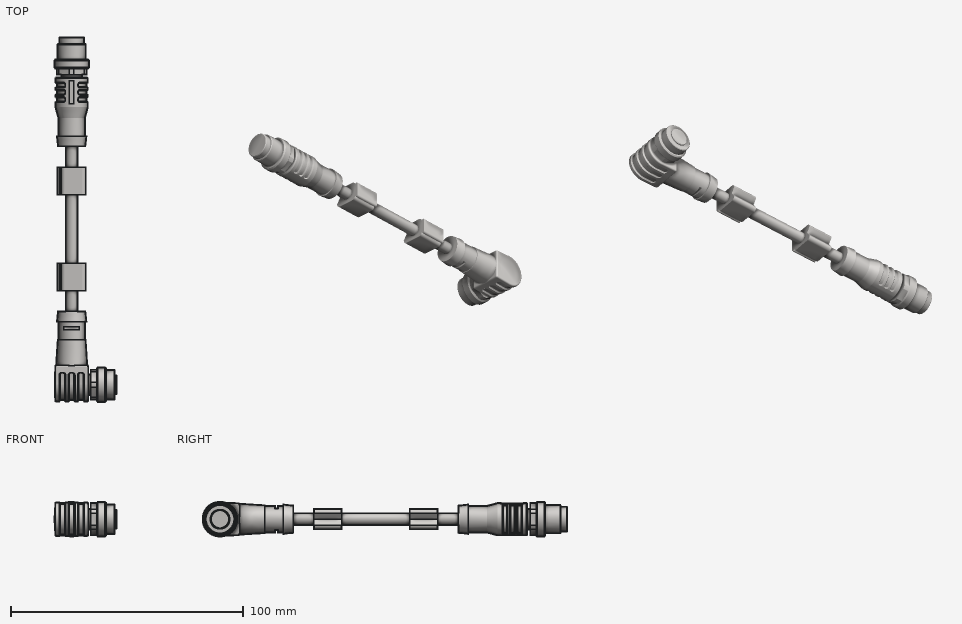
import cadquery as cq
import math


cable_radius = 5.2 / 2

boot_radius = 11.5 / 2
boot_collar_radius = 12.8 / 2
boot_end_radius = 11.8 / 2
boot_collar_length = 4.4

neck_radius = 9.0 / 2
nut_radius = 15.0 / 2
nut_length = 4.0
nut_chamfer = 0.5
hex_across_flats = 13.0
hex_sides = 6
hex_round_radius = 14.0 / 2
hex_length = 2.6
sleeve_chamfer = 0.3
tip_chamfer = 0.3

grip_count = 3
grip_depth = 0.6
grip_wall_run = 0.45

plug_boot_end = 102.6
plug_taper_start = 114.9
plug_body_start = 119.5
plug_body_end = 132.3
plug_hex_start = 133.5
plug_sleeve_end = 146.75
plug_tip_end = 149.6
plug_body_radius = 14.0 / 2
plug_body_chamfer = 0.4
plug_sleeve_radius = 12.3 / 2
plug_tip_radius = 10.8 / 2
plug_grip_center = 125.9
plug_grip_pitch = 3.1
plug_grip_width = 2.4
plug_grip_inner_end = 2.7
mark_width = 2.0
mark_length = 10.0
mark_depth = 0.25

socket_boot_end = 31.6
socket_cone_end = 19.3
socket_cone_small_radius = 12.1 / 2
socket_cone_large_radius = 13.5 / 2
socket_cone_root = 7.0
socket_slot_center = 24.3
socket_slot_width = 1.2
socket_slot_depth = 1.05

elbow_left = -7.15
elbow_right = 7.15
elbow_back = 8.4
elbow_half_height = 6.9
elbow_round_radius = 7.25
elbow_fillet = 0.7
cap_radius = 12.2 / 2
cap_height = 0.15
socket_hex_start = 8.2
socket_sleeve_end = 18.65
socket_tip_end = 19.4
socket_sleeve_radius = 12.8 / 2
socket_tip_radius = 8.3 / 2
socket_grip_pitch = 4.0
socket_grip_width = 2.9
socket_grip_back_end = 5.2

clip_length = 12.0
clip_starts = (40.4, 81.7)
clip_left = -6.1
clip_right = 6.1
clip_half_height = 4.4
clip_top_left = -2.85
clip_top_right = 4.4
clip_tip_half_gap = 2.6
clip_mouth_x = 4.35
clip_notch_x = -4.55
clip_notch_half_height = 2.9
clip_plate_half_height = 3.6
clip_plate_fillet = 0.9

diagonal = math.sqrt(0.5)


def turned_along_y(profile):
    """Solid of revolution about the Y axis from (radius, y) points."""
    return cq.Workplane("XY").polyline(profile).close().revolve(360, (0, 0), (0, 1))


def cylinder_along_y(radius, start, end):
    return turned_along_y([(0, start), (radius, start), (radius, end), (0, end)])


def make_coupling(body_end, hex_start, sleeve_end, sleeve_radius, tip_end, tip_radius):
    """Neck, hexagon, nut, sleeve and tip stacked along Y."""
    nut_start = hex_start + hex_length
    nut_end = nut_start + nut_length
    turned = turned_along_y([
        (0, body_end),
        (neck_radius, body_end),
        (neck_radius, nut_start),
        (nut_radius - nut_chamfer, nut_start),
        (nut_radius, nut_start + nut_chamfer),
        (nut_radius, nut_end - nut_chamfer),
        (nut_radius - nut_chamfer, nut_end),
        (sleeve_radius, nut_end),
        (sleeve_radius, sleeve_end - sleeve_chamfer),
        (sleeve_radius - sleeve_chamfer, sleeve_end),
        (tip_radius, sleeve_end),
        (tip_radius, tip_end - tip_chamfer),
        (tip_radius - tip_chamfer, tip_end),
        (0, tip_end),
    ])
    hexagon = (
        cq.Workplane("XZ", origin=(0, hex_start, 0))
        .transformed(rotate=(0, 0, 180 / hex_sides))
        .polygon(hex_sides, hex_across_flats / math.cos(math.pi / hex_sides))
        .extrude(-hex_length)
    )
    hexagon = hexagon.intersect(cylinder_along_y(hex_round_radius, hex_start, nut_start))
    return turned.union(hexagon)


def grip_offsets(pitch):
    return [(index - (grip_count - 1) / 2) * pitch for index in range(grip_count)]


def make_plug_body():
    collar_start = plug_boot_end + boot_collar_length
    return turned_along_y([
        (0, plug_boot_end),
        (boot_end_radius, plug_boot_end),
        (boot_collar_radius, collar_start),
        (boot_radius, collar_start),
        (boot_radius, plug_taper_start),
        (plug_body_radius, plug_body_start),
        (plug_body_radius, plug_body_end - plug_body_chamfer),
        (plug_body_radius - plug_body_chamfer, plug_body_end),
        (0, plug_body_end),
    ])


def make_plug_grip_floor(center):
    """Material left below one groove: the groove floor between two sloping walls."""
    half_width = plug_grip_width / 2
    floor_half_width = half_width - grip_wall_run
    floor_radius = plug_body_radius - grip_depth
    return turned_along_y([
        (0, center - half_width),
        (plug_body_radius, center - half_width),
        (floor_radius, center - floor_half_width),
        (floor_radius, center + floor_half_width),
        (plug_body_radius, center + half_width),
        (0, center + half_width),
    ])


def cut_plug_grips(body):
    """Round-ended grooves around the -X and +X sides of the plug body."""
    slot_length = 2 * plug_body_radius
    slot_center_x = plug_grip_inner_end + slot_length / 2
    slot_centers = [
        (side * slot_center_x, plug_grip_center + offset)
        for side in (-1, 1)
        for offset in grip_offsets(plug_grip_pitch)
    ]
    slots = (
        cq.Workplane("XY")
        .pushPoints(slot_centers)
        .slot2D(slot_length, plug_grip_width)
        .extrude(plug_body_radius, both=True)
    )
    for offset in grip_offsets(plug_grip_pitch):
        slots = slots.cut(make_plug_grip_floor(plug_grip_center + offset))
    return body.cut(slots)


def cut_plug_mark(body):
    """Shallow flat-bottomed bar on top of the plug body."""
    floor = plug_body_radius - mark_depth
    bar = (
        cq.Workplane("XY", origin=(0, plug_grip_center, floor))
        .rect(mark_width, mark_length)
        .extrude(2 * mark_depth)
    )
    return body.cut(bar)


def make_plug():
    body = cut_plug_mark(cut_plug_grips(make_plug_body()))
    coupling = make_coupling(
        plug_body_end, plug_hex_start, plug_sleeve_end, plug_sleeve_radius, plug_tip_end, plug_tip_radius
    )
    return body.union(coupling)


def make_socket_boot():
    collar_start = socket_boot_end - boot_collar_length
    boot = turned_along_y([
        (0, socket_cone_root),
        (socket_cone_large_radius, socket_cone_root),
        (socket_cone_large_radius, elbow_back),
        (socket_cone_small_radius, socket_cone_end),
        (boot_radius, socket_cone_end),
        (boot_radius, collar_start),
        (boot_collar_radius, collar_start),
        (boot_end_radius, socket_boot_end),
        (0, socket_boot_end),
    ])
    slot_floor = boot_radius - socket_slot_depth
    for side in (-1, 1):
        slot = cq.Workplane("XY").box(2 * boot_radius, socket_slot_width, 2 * socket_slot_depth)
        boot = boot.cut(slot.translate((0, socket_slot_center, side * (slot_floor + socket_slot_depth))))
    return boot


def make_elbow_prism(start, length, inset=0, taper=0):
    """D-shaped prism along X, with the outline moved inwards by the inset."""
    half_height = elbow_half_height - inset
    radius = elbow_round_radius - inset
    back = elbow_back - inset
    return (
        cq.Workplane("YZ", origin=(start, 0, 0))
        .moveTo(back, half_height)
        .lineTo(0, radius)
        .threePointArc((-radius, 0), (0, -radius))
        .lineTo(back, -half_height)
        .close()
        .extrude(length, taper=taper)
    )


def make_elbow_grip_floor(center):
    """Material left below one groove: the groove floor between two sloping walls."""
    wall_angle = math.degrees(math.atan2(grip_depth, grip_wall_run))
    floor = make_elbow_prism(center - socket_grip_width / 2, socket_grip_width, inset=grip_depth)
    wall = make_elbow_prism(-socket_grip_width / 2, grip_wall_run, taper=wall_angle)
    walls = wall.union(wall.mirror("YZ"))
    return floor.union(walls.translate((center, 0, 0)))


def cut_elbow_grips(block):
    """Round-ended grooves that wrap around the rounded side of the elbow."""
    slot_length = 2 * (socket_grip_back_end + elbow_round_radius)
    slot_center_y = socket_grip_back_end - slot_length / 2
    slots = (
        cq.Workplane("XY")
        .pushPoints([(offset, slot_center_y) for offset in grip_offsets(socket_grip_pitch)])
        .slot2D(slot_length, socket_grip_width, 90)
        .extrude(2 * elbow_round_radius, both=True)
    )
    for offset in grip_offsets(socket_grip_pitch):
        slots = slots.cut(make_elbow_grip_floor(offset))
    return block.cut(slots)


def make_elbow():
    block = make_elbow_prism(elbow_left, elbow_right - elbow_left)
    block = block.faces("<X or >X or >Y").edges().fillet(elbow_fillet)
    block = cut_elbow_grips(block)
    dome_radius = (cap_radius**2 + cap_height**2) / (2 * cap_height)
    cap_tip = elbow_left - cap_height
    dome = cq.Workplane("XY").sphere(dome_radius).translate((cap_tip + dome_radius, 0, 0))
    cap = cq.Workplane("YZ", origin=(cap_tip, 0, 0)).circle(cap_radius).extrude(-cap_tip)
    cap = cap.intersect(dome)
    return block.union(cap)


def make_socket():
    coupling = make_coupling(
        elbow_right,
        socket_hex_start,
        socket_sleeve_end,
        socket_sleeve_radius,
        socket_tip_end,
        socket_tip_radius,
    )
    coupling = coupling.rotate((0, 0, 0), (0, 0, 1), -90)
    return make_elbow().union(make_socket_boot()).union(coupling)


def make_clip(start):
    """Clip of constant section along Y, mirrored about the XY plane."""
    plate_inner = clip_left + clip_plate_fillet
    plate_arc_drop = clip_plate_fillet * (1 - diagonal)
    shoulder_mid_x = clip_top_left + (clip_notch_x - clip_top_left) * diagonal
    shoulder_rise = clip_half_height - clip_notch_half_height
    shoulder_mid_z = clip_notch_half_height + shoulder_rise * diagonal
    tip_mid_x = clip_top_right + (clip_right - clip_top_right) * diagonal
    tip_rise = clip_half_height - clip_tip_half_gap
    tip_mid_z = clip_tip_half_gap + tip_rise * diagonal
    upper_half = (
        cq.Workplane("XZ", origin=(0, start, 0))
        .moveTo(clip_left, 0)
        .lineTo(clip_left, clip_plate_half_height - clip_plate_fillet)
        .threePointArc(
            (clip_left + plate_arc_drop, clip_plate_half_height - plate_arc_drop),
            (plate_inner, clip_plate_half_height),
        )
        .lineTo(clip_notch_x, clip_notch_half_height)
        .threePointArc((shoulder_mid_x, shoulder_mid_z), (clip_top_left, clip_half_height))
        .lineTo(clip_top_right, clip_half_height)
        .threePointArc((tip_mid_x, tip_mid_z), (clip_right, clip_tip_half_gap))
        .lineTo(clip_mouth_x, 0)
        .close()
        .extrude(-clip_length)
    )
    return upper_half.union(upper_half.mirror("XY"))


result = cylinder_along_y(cable_radius, 0, plug_body_end)
result = result.union(make_plug()).union(make_socket())
for clip_start in clip_starts:
    result = result.union(make_clip(clip_start))